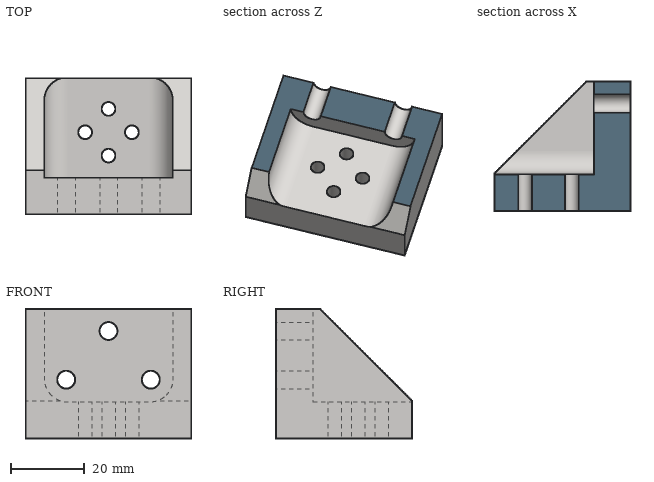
import cadquery as cq

width = 45.0
depth = 37.0
height = 35.23
top_land = 12.0
back_height = height - (depth - top_land)

wall_thickness = 10.0
floor_thickness = 10.0
recess_width = 35.0
corner_radius = 6.35

wall_hole_diameter = 4.8
upper_hole_drop = 6.0
upper_hole_height = height - upper_hole_drop
lower_hole_height = 16.0
lower_hole_offset = 11.5

floor_hole_diameter = 3.66
floor_hole_radius = 6.35
floor_hole_count = 4
floor_ring_y = 22.3


def wedge_block():
    """Block with a 45 degree slope falling from the top to the back face."""
    profile = [
        (0, 0),
        (depth, 0),
        (depth, back_height),
        (top_land, height),
        (0, height),
    ]
    return (
        cq.Workplane("YZ")
        .polyline(profile)
        .close()
        .extrude(width / 2, both=True)
    )


def recess():
    """Cutter for the recess, its two long bottom edges rounded."""
    return (
        cq.Workplane("XY")
        .box(
            recess_width,
            depth - wall_thickness,
            height - floor_thickness,
            centered=(True, False, False),
        )
        .edges("|Y and <Z")
        .fillet(corner_radius)
        .translate((0, wall_thickness, floor_thickness))
    )


def wall_holes():
    """Three holes running along Y through the front wall."""
    centres = [
        (0, upper_hole_height),
        (-lower_hole_offset, lower_hole_height),
        (lower_hole_offset, lower_hole_height),
    ]
    return (
        cq.Workplane("XZ")
        .pushPoints(centres)
        .circle(wall_hole_diameter / 2)
        .extrude(-wall_thickness)
    )


def floor_holes():
    """Evenly spaced vertical holes through the recess floor."""
    return (
        cq.Workplane("XY")
        .center(0, floor_ring_y)
        .polarArray(floor_hole_radius, 0, 360, floor_hole_count)
        .circle(floor_hole_diameter / 2)
        .extrude(floor_thickness)
    )


result = wedge_block().cut(recess()).cut(wall_holes()).cut(floor_holes())